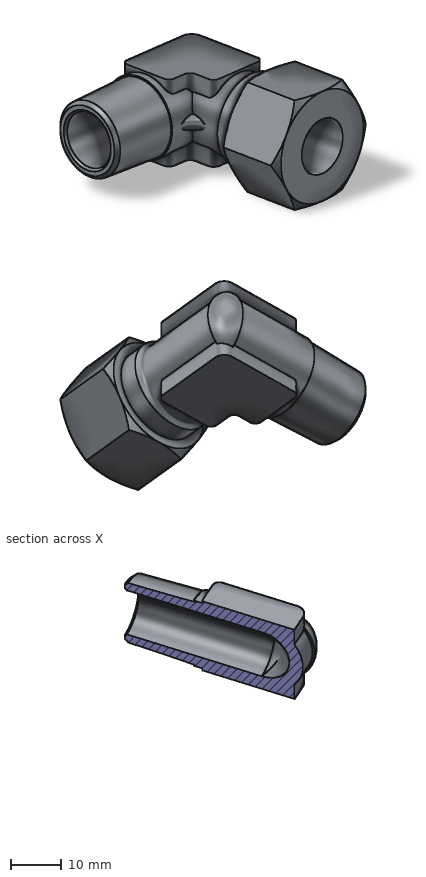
import cadquery as cq
import math

BODY_RADIUS = 9.0
BORE_RADIUS = 5.95

CORNER_RADIUS = 9.5
CORNER_OFFSET = 4.55

WEB_BEND_RADIUS = 4.0
WEB_RADIUS = 1.65

BODY_LEG_LENGTH = 14.95
LEG_LENGTH = 30.05
SPIGOT_ROOT_RADIUS = 8.7
SPIGOT_TIP_RADIUS = 8.25
SPIGOT_CHAMFER = 0.8
BORE_CHAMFER = 0.5

COLLAR_RADIUS = 10.0
COLLAR_START = 16.75
COLLAR_FILLET_RADIUS = 1.0
RUN_LENGTH = 36.0
NUT_LENGTH = 15.0
NUT_ACROSS_FLATS = 24.0
NUT_CHAMFER_ANGLE = 30

PAD_THICKNESS = 19.07
PAD_REACH = 13.1
PAD_LEG_HALF_WIDTH = 6.5
PAD_RUN_HALF_WIDTH = 7.15
PAD_CORNER_RADIUS = 1.5
PAD_ELBOW_RADIUS = 2.35

NUT_START = RUN_LENGTH - NUT_LENGTH
NUT_CORNER_RADIUS = NUT_ACROSS_FLATS / math.sqrt(3)


def make_leg():
    """Leg cylinder, tapered spigot and end chamfer, turned about the Y axis."""
    return (
        cq.Workplane("XY")
        .moveTo(0, CORNER_OFFSET)
        .lineTo(BODY_RADIUS, CORNER_OFFSET)
        .lineTo(BODY_RADIUS, -BODY_LEG_LENGTH)
        .lineTo(SPIGOT_ROOT_RADIUS, -BODY_LEG_LENGTH)
        .lineTo(SPIGOT_TIP_RADIUS, -LEG_LENGTH + SPIGOT_CHAMFER)
        .lineTo(SPIGOT_TIP_RADIUS - SPIGOT_CHAMFER, -LEG_LENGTH)
        .lineTo(0, -LEG_LENGTH)
        .close()
        .revolve(360, (0, 0, 0), (0, 1, 0))
    )


def make_run():
    """Run cylinder rising through a fillet and a 45 degree cone to the collar."""
    fillet_rise = COLLAR_FILLET_RADIUS * (1 - math.cos(math.pi / 4))
    fillet_length = COLLAR_FILLET_RADIUS * math.sin(math.pi / 4)
    cone_radius = BODY_RADIUS + fillet_rise
    cone_start = COLLAR_START - (COLLAR_RADIUS - cone_radius)
    fillet_start = cone_start - fillet_length
    fillet_middle = (
        fillet_start + COLLAR_FILLET_RADIUS * math.sin(math.pi / 8),
        BODY_RADIUS + COLLAR_FILLET_RADIUS * (1 - math.cos(math.pi / 8)),
    )
    return (
        cq.Workplane("XY")
        .moveTo(-CORNER_OFFSET, 0)
        .lineTo(-CORNER_OFFSET, BODY_RADIUS)
        .lineTo(fillet_start, BODY_RADIUS)
        .threePointArc(fillet_middle, (cone_start, cone_radius))
        .lineTo(COLLAR_START, COLLAR_RADIUS)
        .lineTo(NUT_START, COLLAR_RADIUS)
        .lineTo(NUT_START, 0)
        .close()
        .revolve(360, (0, 0, 0), (1, 0, 0))
    )


def make_nut():
    """Hexagon with flats facing +Z and -Z and corners chamfered at both ends."""
    face_radius = NUT_ACROSS_FLATS / 2
    trim_radius = 1.1 * NUT_CORNER_RADIUS
    cone_length = (trim_radius - face_radius) * math.tan(math.radians(NUT_CHAMFER_ANGLE))
    hexagon = (
        cq.Workplane("YZ")
        .workplane(offset=NUT_START)
        .polygon(6, 2 * NUT_CORNER_RADIUS)
        .extrude(NUT_LENGTH)
    )
    trim = (
        cq.Workplane("XY")
        .moveTo(NUT_START, 0)
        .lineTo(NUT_START, face_radius)
        .lineTo(NUT_START + cone_length, trim_radius)
        .lineTo(RUN_LENGTH - cone_length, trim_radius)
        .lineTo(RUN_LENGTH, face_radius)
        .lineTo(RUN_LENGTH, 0)
        .close()
        .revolve(360, (0, 0, 0), (1, 0, 0))
    )
    return hexagon.intersect(trim)


def make_outer_corner():
    """Circle segment swung a quarter turn about the bend pivot."""
    half_chord = math.sqrt(CORNER_RADIUS**2 - CORNER_OFFSET**2)
    return (
        cq.Workplane("XZ", origin=(-CORNER_OFFSET, CORNER_OFFSET, 0))
        .moveTo(0, -half_chord)
        .threePointArc((CORNER_OFFSET - CORNER_RADIUS, 0), (0, half_chord))
        .close()
        .revolve(90, (0, 0, 0), (0, -1, 0))
    )


def make_inner_web():
    """Round bar bent a quarter turn, its inner edge tangent to leg and run."""
    pivot = BODY_RADIUS + WEB_BEND_RADIUS
    return (
        cq.Workplane("XZ", origin=(pivot, -pivot, 0))
        .center(-WEB_BEND_RADIUS - WEB_RADIUS, 0)
        .circle(WEB_RADIUS)
        .revolve(90, (WEB_BEND_RADIUS + WEB_RADIUS, 0, 0), (WEB_BEND_RADIUS + WEB_RADIUS, -1, 0))
    )


def make_pads():
    """L-shaped block through the elbow whose Z faces form the wrench pads."""
    outline = [
        (-PAD_LEG_HALF_WIDTH, PAD_RUN_HALF_WIDTH),
        (PAD_REACH, PAD_RUN_HALF_WIDTH),
        (PAD_REACH, -PAD_RUN_HALF_WIDTH),
        (PAD_LEG_HALF_WIDTH, -PAD_RUN_HALF_WIDTH),
        (PAD_LEG_HALF_WIDTH, -PAD_REACH),
        (-PAD_LEG_HALF_WIDTH, -PAD_REACH),
    ]
    block = cq.Workplane("XY").polyline(outline).close().extrude(PAD_THICKNESS / 2, both=True)
    elbow_corner = cq.selectors.NearestToPointSelector((*outline[0], 0))
    return (
        block.edges("|Z")
        .edges(cq.selectors.InverseSelector(elbow_corner))
        .fillet(PAD_CORNER_RADIUS)
        .edges(elbow_corner)
        .fillet(PAD_ELBOW_RADIUS)
    )


def make_run_side():
    """Wedge covering everything on the run side of the mitre plane."""
    reach = 2 * RUN_LENGTH
    return (
        cq.Workplane("XY")
        .polyline([(-reach, reach), (reach, reach), (reach, -reach)])
        .close()
        .extrude(2 * BORE_RADIUS, both=True)
    )


def make_run_bore():
    """Drilled hole along the run with a 90 degree tip, clipped at the mitre plane y = -x."""
    hole = (
        cq.Workplane("XY")
        .moveTo(-BORE_RADIUS, 0)
        .lineTo(0, BORE_RADIUS)
        .lineTo(RUN_LENGTH, BORE_RADIUS)
        .lineTo(RUN_LENGTH, 0)
        .close()
        .revolve(360, (0, 0, 0), (1, 0, 0))
    )
    return hole.intersect(make_run_side())


def make_leg_bore():
    """Matching drilled hole along the leg with a chamfered mouth."""
    hole = (
        cq.Workplane("XY")
        .moveTo(0, BORE_RADIUS)
        .lineTo(BORE_RADIUS, 0)
        .lineTo(BORE_RADIUS, -LEG_LENGTH + BORE_CHAMFER)
        .lineTo(BORE_RADIUS + BORE_CHAMFER, -LEG_LENGTH)
        .lineTo(0, -LEG_LENGTH)
        .close()
        .revolve(360, (0, 0, 0), (0, 1, 0))
    )
    return hole.cut(make_run_side())


result = (
    make_leg()
    .union(make_run())
    .union(make_nut())
    .union(make_outer_corner())
    .union(make_inner_web())
    .union(make_pads())
    .cut(make_leg_bore())
    .cut(make_run_bore())
)